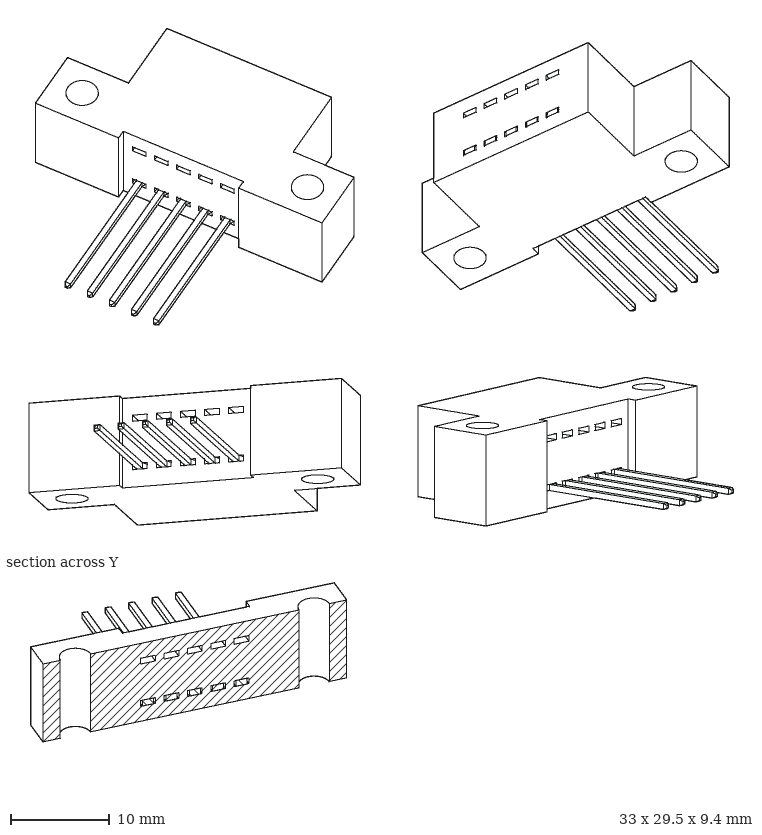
import cadquery as cq

overall_width = 33.02
housing_height = 9.4
ear_depth = 6.85
housing_depth = 15.0
back_block_width = 19.0

recess_width = 13.85
recess_depth = 1.0

mounting_hole_diameter = 3.27
mounting_hole_spacing = 25.95
mounting_hole_y = 3.45

contact_count = 5
contact_pitch = 2.55
row_offset = contact_pitch
slot_width = 1.55
slot_height = 0.63

blade_width = 1.25
pin_size = slot_height
pin_reach = 14.45
shoulder_start_y = recess_depth
shoulder_length = 0.75
tip_length = 0.33
tip_size = 0.25

contact_positions = [
    (index - (contact_count - 1) / 2) * contact_pitch for index in range(contact_count)
]


def block(width, y_front, y_back):
    """Full-height block, centred on X and Z, between two Y positions."""
    depth = y_back - y_front
    return cq.Workplane("XY").box(width, depth, housing_height).translate((0, y_front + depth / 2, 0))


def make_housing():
    body = block(overall_width, 0, ear_depth)
    body = body.union(block(back_block_width, ear_depth, housing_depth))
    body = body.cut(block(recess_width, 0, recess_depth))

    mounting_holes = (
        cq.Workplane("XY", origin=(0, mounting_hole_y, 0))
        .pushPoints([(-mounting_hole_spacing / 2, 0), (mounting_hole_spacing / 2, 0)])
        .circle(mounting_hole_diameter / 2)
        .extrude(housing_height / 2, both=True)
    )
    body = body.cut(mounting_holes)

    slot_centres = [(x, z) for x in contact_positions for z in (-row_offset, row_offset)]
    slots = (
        cq.Workplane("XZ")
        .pushPoints(slot_centres)
        .rect(slot_width, slot_height)
        .extrude(-housing_depth)
    )
    return body.cut(slots)


def make_contact(x):
    """One contact in the lower row: blade, sloped shoulders, square pin and tapered tip."""
    blade_front_y = shoulder_start_y + shoulder_length
    tip_start_y = -pin_reach + tip_length
    half_blade = blade_width / 2
    half_pin = pin_size / 2

    body = (
        cq.Workplane("XY")
        .moveTo(-half_pin, tip_start_y)
        .lineTo(-half_pin, shoulder_start_y)
        .lineTo(-half_blade, blade_front_y)
        .lineTo(-half_blade, housing_depth)
        .lineTo(half_blade, housing_depth)
        .lineTo(half_blade, blade_front_y)
        .lineTo(half_pin, shoulder_start_y)
        .lineTo(half_pin, tip_start_y)
        .close()
        .extrude(pin_size / 2, both=True)
    )
    tip = (
        cq.Workplane("XZ", origin=(0, tip_start_y, 0))
        .rect(pin_size, pin_size)
        .workplane(offset=tip_length)
        .rect(tip_size, tip_size)
        .loft(ruled=True)
    )
    return body.union(tip).translate((x, 0, -row_offset))


housing = make_housing()
contacts = [make_contact(x) for x in contact_positions]

result = cq.Compound.makeCompound([housing.val(), *[contact.val() for contact in contacts]])